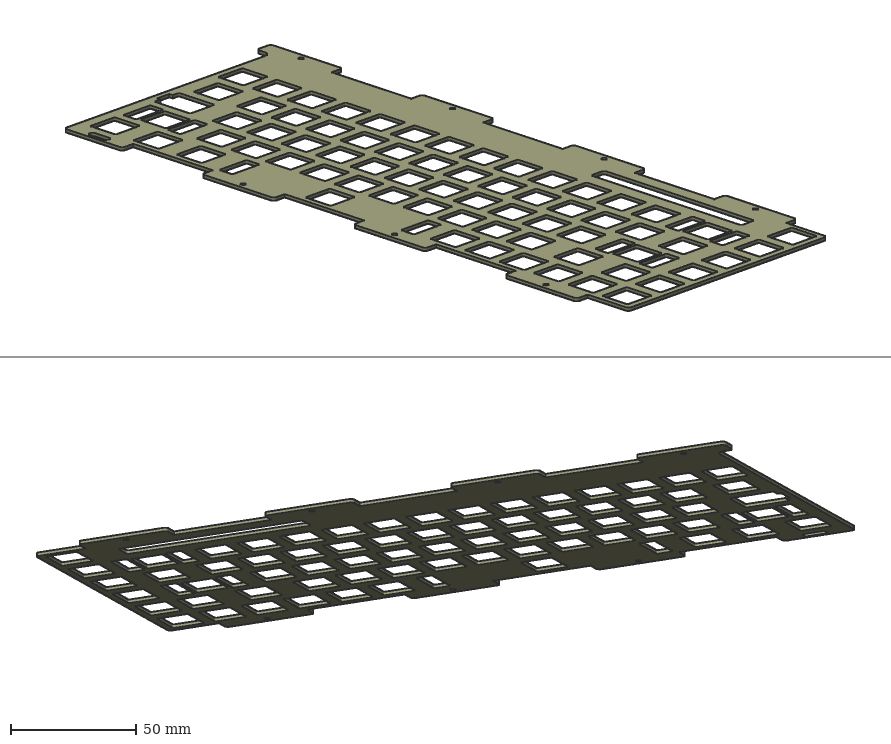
import cadquery as cq


LENGTH = 314.0
WIDTH = 127.0
THICKNESS = 1.5
BODY_WIDTH = 114.5
EAR_REACH = 7.5
EAR_DEPTH = 8.2
EAR_CORNER_RADIUS = 2.0
EAR_BLEND_RADIUS = 2.8
OUTER_CORNER_RADIUS = 1.5

TAB_COUNT = 4
TAB_WIDTH = 40.0
TAB_PITCH = 83.8
TAB_HOLE_DIAMETER = 2.2
TAB_HOLE_INSET = 3.0
TAB_SLOT_LENGTH = 10.7
TAB_SLOT_WIDTH = 3.0
TAB_SLOT_X = -132.8

COLUMN_STEPS = 15
KEY_FIELD_SPAN = 285.7
KEY_PITCH = KEY_FIELD_SPAN / COLUMN_STEPS
KEY_WEB = 5.0
KEY_SIZE = KEY_PITCH - KEY_WEB
KEY_CORNER_RADIUS = 0.5
KEY_FIELD_X = 3.8
KEY_FIELD_Y = 0.3
SPACE_BAR_COLUMN = 6.375
BACKSPACE_COLUMN = 13.5
ENTER_COLUMN = 13.375
LEFT_SHIFT_COLUMN = 0.625
CAPS_LOCK_COLUMN = 0.375

KEY_ROWS = [
    [15],
    [*range(13), BACKSPACE_COLUMN, 15],
    [0.25, *[1.5 + i for i in range(12)], 13.75, 15],
    [*[1.75 + i for i in range(11)], ENTER_COLUMN, 15],
    [LEFT_SHIFT_COLUMN, *[2.25 + i for i in range(10)], 12.625, 14, 15],
    [0.125, 1.375, 2.625, SPACE_BAR_COLUMN, *range(10, 16)],
]
NUMBER_ROW, HOME_ROW, SHIFT_ROW, SPACE_ROW = 1, 3, 4, 5

STABILISER_WIDTH = 7.2
STABILISER_HEIGHT = 15.7
STABILISER_OFFSET = 12.2
SPACE_STABILISER_OFFSET = 50.2

CAPS_WINDOW_LENGTH = 19.8
CAPS_NOTCH_DEPTH = 2.0
CAPS_NOTCH_WIDTH = 7.0

BAR_LENGTH = 83.2
BAR_WIDTH = 7.5
BAR_X = 81.5
BAR_Y = 46.8
BAR_CORNER_RADIUS = 1.3


def column_x(column):
    return KEY_FIELD_X + (column - COLUMN_STEPS / 2) * KEY_PITCH


def row_y(row):
    return KEY_FIELD_Y + ((len(KEY_ROWS) - 1) / 2 - row) * KEY_PITCH


def block(x_min, x_max, y_min, y_max):
    """Full-thickness rectangular block between the given limits."""
    return cq.Workplane("XY").box(
        x_max - x_min, y_max - y_min, THICKNESS, centered=False
    ).translate((x_min, y_min, 0))


def windows(centers, length, width, corner_radius):
    """Rounded rectangular cutters at the given centres."""
    return (
        cq.Workplane("XY").pushPoints(centers).rect(length, width)
        .extrude(THICKNESS).edges("|Z").fillet(corner_radius)
    )


half_length = LENGTH / 2
half_width = WIDTH / 2
half_body = BODY_WIDTH / 2
body_left = -half_length + EAR_REACH
ear_bottom = half_width - EAR_DEPTH
tab_centers = [-half_length + TAB_WIDTH / 2 + i * TAB_PITCH for i in range(TAB_COUNT)]


def make_blank():
    """Body with four tabs per long edge; the back left tab overhangs as an ear."""
    blank = block(body_left, half_length, -half_body, half_body)
    for x in tab_centers:
        left = x - TAB_WIDTH / 2
        right = x + TAB_WIDTH / 2
        blank = blank.union(block(left, right, ear_bottom, half_width))
        blank = blank.union(block(max(left, body_left), right, -half_width, -ear_bottom))
    return blank


def round_outline(blank):
    """Round the free corners and blend the ear into the left edge."""
    ear_corner = cq.selectors.NearestToPointSelector((-half_length, ear_bottom, THICKNESS / 2))
    ear_root = cq.selectors.NearestToPointSelector((body_left, ear_bottom, THICKNESS / 2))
    blank = blank.edges("|Z").edges(ear_root).fillet(EAR_BLEND_RADIUS)
    blank = blank.edges("|Z").edges(ear_corner).fillet(EAR_CORNER_RADIUS)
    tab_ends = "(>Y or <Y)"
    blank = blank.faces(tab_ends).edges("|Z").fillet(OUTER_CORNER_RADIUS)
    return blank.faces(">X").edges("|Z").fillet(OUTER_CORNER_RADIUS)


def mounting_cutters():
    """Round holes in every tab except the front left one, which has a slot."""
    hole_y = half_width - TAB_HOLE_INSET
    holes = [(x, hole_y) for x in tab_centers]
    holes += [(x, -hole_y) for x in tab_centers[1:]]
    round_holes = (
        cq.Workplane("XY").pushPoints(holes).circle(TAB_HOLE_DIAMETER / 2).extrude(THICKNESS)
    )
    slot = (
        cq.Workplane("XY").center(TAB_SLOT_X, -hole_y)
        .slot2D(TAB_SLOT_LENGTH, TAB_SLOT_WIDTH).extrude(THICKNESS)
    )
    return [round_holes, slot]


def key_cutter():
    centers = [(column_x(c), row_y(r)) for r, row in enumerate(KEY_ROWS) for c in row]
    return windows(centers, KEY_SIZE, KEY_SIZE, KEY_CORNER_RADIUS)


def stabiliser_cutter():
    wide_keys = [
        (BACKSPACE_COLUMN, NUMBER_ROW, STABILISER_OFFSET),
        (ENTER_COLUMN, HOME_ROW, STABILISER_OFFSET),
        (LEFT_SHIFT_COLUMN, SHIFT_ROW, STABILISER_OFFSET),
        (SPACE_BAR_COLUMN, SPACE_ROW, SPACE_STABILISER_OFFSET),
    ]
    centers = [
        (column_x(column) + side * offset, row_y(row))
        for column, row, offset in wide_keys
        for side in (-1, 1)
    ]
    return windows(centers, STABILISER_WIDTH, STABILISER_HEIGHT, KEY_CORNER_RADIUS)


def caps_lock_cutter():
    """Window flush with the right side of a caps lock key, notched on its left."""
    y = row_y(HOME_ROW)
    right = column_x(CAPS_LOCK_COLUMN) + KEY_SIZE / 2
    left = right - CAPS_WINDOW_LENGTH
    window = windows(
        [((left + right) / 2, y)], CAPS_WINDOW_LENGTH, KEY_SIZE, KEY_CORNER_RADIUS
    )
    notch = block(
        left - CAPS_NOTCH_DEPTH, right - KEY_SIZE, y - CAPS_NOTCH_WIDTH / 2, y + CAPS_NOTCH_WIDTH / 2
    )
    return window.union(notch)


bar_cutter = windows([(BAR_X, BAR_Y)], BAR_LENGTH, BAR_WIDTH, BAR_CORNER_RADIUS)

result = round_outline(make_blank())
for cutter in [
    *mounting_cutters(), key_cutter(), stabiliser_cutter(), caps_lock_cutter(), bar_cutter
]:
    result = result.cut(cutter)